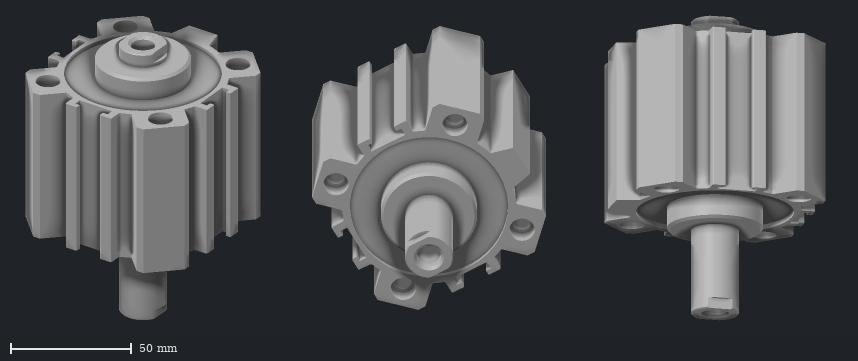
import cadquery as cq
import math

overall_length = 126.0
body_width = 80.0
body_depth = 84.0
body_length = 68.0
boss_height = 8.0
rod_top_reach = 6.0

barrel_radius = 35.9
root_fillet = 1.0
recess_diameter = 65.5
recess_depth = 2.0
surface_tolerance = 0.01

boss_diameter = 40.0
boss_chamfer = 1.1

lug_width = 22.2
lug_reach = 47.9
bolt_circle_radius = body_width / 2
bolt_diameter = 7.0
counterbore_diameter = 10.5
counterbore_depth = 6.5

rail_angles = (0, 180, -90)
rail_width = 23.0
slot_width = 16.3
slot_opening = 11.6
slot_floor = 34.4
lip_thickness = 2.3
rail_edge_fillet = 0.5

rib_tip_width = 14.1
rib_root_width = 18.9
rib_root = 34.5

rod_diameter = 20.0
rod_chamfer = 0.5
flat_spacing = 17.0
flat_length = 4.4
rod_hole_diameter = 10.1
rod_hole_depth = 18.9
countersink_diameter = 12.5

half_width = body_width / 2
rib_reach = body_depth - half_width
bolt_offset = bolt_circle_radius / math.sqrt(2)
rod_top = body_length + boss_height + rod_top_reach
rod_bottom = rod_top - overall_length
rod_middle = (rod_top + rod_bottom) / 2
body_middle = body_length / 2


def mirrored_pair(shape, middle):
    """Return a shape united with its mirror image about the plane Z = middle."""
    mirror = shape.mirror("XY", (0, 0, middle))
    return shape.union(mirror)


def make_lugs():
    """Four corner lugs: two diagonal bars trimmed to the square body envelope."""
    bar = cq.Workplane("XY").rect(2 * lug_reach, lug_width).extrude(body_length)
    envelope = cq.Workplane("XY").rect(body_width, body_width).extrude(body_length)
    lugs = bar.rotate((0, 0, 0), (0, 0, 1), 45)
    lugs = lugs.union(bar.rotate((0, 0, 0), (0, 0, 1), -45))
    return lugs.intersect(envelope)


def make_rail(angle):
    """Solid rail blank on the +X side, turned about Z by the given angle."""
    rail = cq.Workplane("XY").rect(half_width, rail_width).extrude(body_length)
    rail = rail.translate((half_width / 2, 0, 0))
    rail = rail.edges("|Z and >X").fillet(rail_edge_fillet)
    return rail.rotate((0, 0, 0), (0, 0, 1), angle)


def make_slot(angle):
    """T-slot cutter for the rail on the +X side that also rounds the rail's lips."""
    lip_inside = half_width - lip_thickness
    wide_part = cq.Workplane("XY").rect(lip_inside - slot_floor, slot_width).extrude(body_length)
    wide_part = wide_part.translate(((lip_inside + slot_floor) / 2, 0, 0))
    opening = cq.Workplane("XY").rect(lip_thickness, slot_opening).extrude(body_length)
    opening = opening.translate((half_width - lip_thickness / 2, 0, 0))
    mouth = (
        cq.Workplane("XY")
        .moveTo(half_width, -slot_opening / 2 - rail_edge_fillet)
        .radiusArc((half_width - rail_edge_fillet, -slot_opening / 2), -rail_edge_fillet)
        .lineTo(half_width - rail_edge_fillet, slot_opening / 2)
        .radiusArc((half_width, slot_opening / 2 + rail_edge_fillet), -rail_edge_fillet)
        .close()
        .extrude(body_length)
    )
    slot = wide_part.union(opening).union(mouth)
    return slot.rotate((0, 0, 0), (0, 0, 1), angle)


def fillet_roots(body):
    """Round the vertical inner corners where the barrel meets the lugs and rails."""
    def on_barrel(edge):
        center = edge.Center()
        return abs(math.hypot(center.x, center.y) - barrel_radius) < surface_tolerance

    return body.edges("|Z").filter(on_barrel).fillet(root_fillet)


def make_rib():
    """Tapered rib along the +Y side."""
    return (
        cq.Workplane("XY")
        .moveTo(0, 0)
        .lineTo(rib_root_width / 2, rib_root)
        .lineTo(rib_tip_width / 2, rib_reach)
        .lineTo(-rib_tip_width / 2, rib_reach)
        .lineTo(-rib_root_width / 2, rib_root)
        .close()
        .extrude(body_length)
    )


def make_boss():
    """Upper guide boss, rising from the floor of the recess."""
    return (
        cq.Workplane("XY")
        .workplane(offset=body_length - recess_depth)
        .circle(boss_diameter / 2)
        .extrude(recess_depth + boss_height)
        .faces(">Z")
        .chamfer(boss_chamfer)
    )


def make_recess():
    """Cutter for the round recess in the upper end face."""
    return (
        cq.Workplane("XY")
        .workplane(offset=body_length - recess_depth)
        .circle(recess_diameter / 2)
        .extrude(recess_depth)
    )


def make_bolt_holes():
    """Cutters for the four through holes, counterbored at both ends."""
    centers = [(x, y) for x in (-bolt_offset, bolt_offset) for y in (-bolt_offset, bolt_offset)]
    through = cq.Workplane("XY").pushPoints(centers).circle(bolt_diameter / 2).extrude(body_length)
    counterbores = (
        cq.Workplane("XY")
        .workplane(offset=body_length - counterbore_depth)
        .pushPoints(centers)
        .circle(counterbore_diameter / 2)
        .extrude(counterbore_depth)
    )
    return through.union(mirrored_pair(counterbores, body_middle))


def make_housing():
    """Cylinder housing: extruded body with a guide boss at each end and a rod bore."""
    housing = cq.Workplane("XY").circle(barrel_radius).extrude(body_length)
    housing = housing.union(make_lugs())
    for angle in rail_angles:
        housing = housing.union(make_rail(angle))
    housing = fillet_roots(housing).union(make_rib())
    for angle in rail_angles:
        housing = housing.cut(make_slot(angle))
    housing = housing.cut(mirrored_pair(make_recess(), body_middle))
    housing = housing.union(mirrored_pair(make_boss(), body_middle))
    housing = housing.cut(make_bolt_holes())
    rod_bore = (
        cq.Workplane("XY")
        .workplane(offset=rod_bottom)
        .circle(rod_diameter / 2)
        .extrude(overall_length)
    )
    return housing.cut(rod_bore)


def make_flat_cutter():
    """Cutter that leaves two wrench flats facing -X and +X at the upper rod end."""
    cutter_size = 2 * rod_diameter
    return (
        cq.Workplane("XY")
        .workplane(offset=rod_top - flat_length)
        .rect(cutter_size, cutter_size)
        .rect(flat_spacing, cutter_size)
        .extrude(flat_length)
    )


def make_rod_hole():
    """Cutter for the blind hole with a 45 degree countersink in the upper rod end."""
    countersink_depth = (countersink_diameter - rod_hole_diameter) / 2
    return (
        cq.Workplane("XZ")
        .moveTo(0, rod_top)
        .lineTo(countersink_diameter / 2, rod_top)
        .lineTo(rod_hole_diameter / 2, rod_top - countersink_depth)
        .lineTo(rod_hole_diameter / 2, rod_top - rod_hole_depth)
        .lineTo(0, rod_top - rod_hole_depth)
        .close()
        .revolve(360, (0, 0, 0), (0, 1, 0))
    )


def make_rod():
    """Through rod with chamfered ends, wrench flats and a blind hole at each end."""
    rod = (
        cq.Workplane("XY")
        .workplane(offset=rod_bottom)
        .circle(rod_diameter / 2)
        .extrude(overall_length)
        .faces("<Z or >Z")
        .chamfer(rod_chamfer)
    )
    for cutter in (make_flat_cutter(), make_rod_hole()):
        rod = rod.cut(mirrored_pair(cutter, rod_middle))
    return rod


housing = make_housing()
rod = make_rod()
result = cq.Compound.makeCompound([housing.solids().val(), rod.solids().val()])